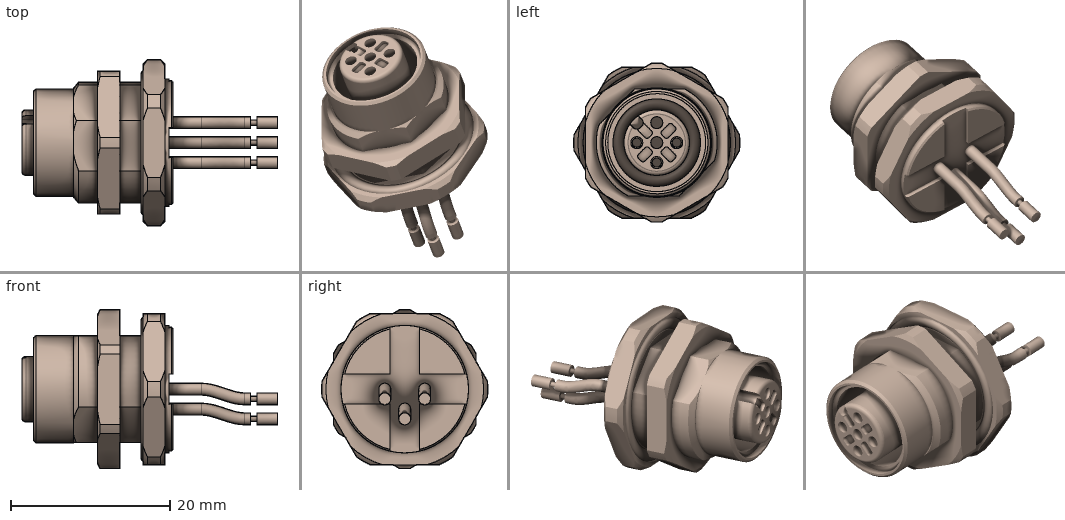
import cadquery as cq
import math


BARREL_FRONT_X = 1.45
BARREL_RADIUS = 13.5 / 2
BARREL_CHAMFER = 0.32
THREAD_FRONT_X = 6.53
THREAD_RADIUS = 15.2 / 2
THREAD_LEAD_IN = 0.6
THREAD_ROOT_RADIUS = 6.88
FLAT_DISTANCE = 6.72
FLAT_ANGLES = (45, 90, 225, 270)

MOUTH_RADIUS = 12.3 / 2
MOUTH_DEPTH = 0.87
CAVITY_RADIUS = 11.0 / 2
CAVITY_FLOOR_X = 9.65
INSERT_RADIUS = 4.1
INSERT_FILLET = 0.5

PITCH_RADIUS = 2.5
HOLE_DIAMETER = 1.5
HOLE_DEPTH = 4.82
CONTACT_BORE = 1.15
CONTACT_RECESS = 1.6
SLOT_WIDTH = 1.15
SLOT_INNER = 1.15
SLOT_OUTER = 3.02
SLOT_CORNER = 0.32
SLOT_DEPTH = 0.55
SLOT_ANGLES = (45, 135, 225, 315)
KEY_ANGLE = SLOT_ANGLES[0]
KEY_WIDTH = 1.48
KEY_INNER = 2.8
KEY_OUTER = 4.82
KEY_CORNER = 0.58

FLANGE_FRONT_X = 15.25
FLANGE_REAR_X = 17.97
FLANGE_ACROSS_FLATS = 19.0
FLANGE_CORNER_RADIUS = 20.9 / 2
FLANGE_CHAMFER = 0.55
COLLAR_REAR_X = 19.0
COLLAR_RADIUS = 16.0 / 2
COLLAR_CHAMFER = (16.0 - 15.6) / 2
CROSS_SLOT_WIDTH = 3.75
CROSS_SLOT_DEPTH = 0.48

RING_TUBE_RADIUS = 1.5 / 2
RING_CENTRE_RADIUS = 8.5
RING_PROTRUSION = 0.3
RING_SEAT_OUTER_RADIUS = 9.25
RING_SEAT_INNER_RADIUS = RING_CENTRE_RADIUS - RING_TUBE_RADIUS
RING_CENTRE_X = FLANGE_FRONT_X - RING_PROTRUSION + RING_TUBE_RADIUS
RING_SEAT_X = RING_CENTRE_X + RING_TUBE_RADIUS

NUT_FRONT_X = 9.5
NUT_REAR_X = 12.3
NUT_ACROSS_FLATS = 17.95
NUT_CORNER_RADIUS = 20.0 / 2
NUT_CHAMFER_LENGTH = 0.35
NUT_CHAMFER_RADIAL = 0.68

WIRE_DIAMETER = 1.5
CONDUCTOR_DIAMETER = 0.7
BEND_START_X = 22.57
BEND_END_X = 28.0
BEND_DROP = 1.22
NECK_START_X = 28.75
NECK_END_X = 29.55
WIRE_END_X = 32.15
WIRE_ANGLES = (0, 180, 270)


def polar(radius, angle):
    """Y, Z position at a radius from the axis, angle measured from +Y towards +Z."""
    return (radius * math.cos(math.radians(angle)), radius * math.sin(math.radians(angle)))


def rod(x_start, x_end, radius, y=0, z=0):
    """Cylinder parallel to X."""
    return cq.Workplane("YZ", origin=(x_start, y, z)).circle(radius).extrude(x_end - x_start)


def turned(profile):
    """Solid of revolution about X from (x, radius) points."""
    return cq.Workplane("XY").polyline(profile).close().revolve(360, (0, 0, 0), (1, 0, 0))


def torus(x, centre_radius, tube_radius):
    return (
        cq.Workplane("XY", origin=(x, centre_radius, 0))
        .circle(tube_radius)
        .revolve(360, (0, -centre_radius, 0), (1, -centre_radius, 0))
    )


def hexagon(x_start, x_end, across_flats, corner_angle):
    """Hexagonal prism along X with one corner at corner_angle."""
    corner_diameter = across_flats / math.cos(math.pi / 6)
    prism = cq.Workplane("YZ").polygon(6, corner_diameter).extrude(x_end - x_start)
    return prism.rotate((0, 0, 0), (1, 0, 0), corner_angle).translate((x_start, 0, 0))


def threaded_shank():
    """Threaded length of the shell, with a conical lead-in and four wrench flats."""
    shank = turned([
        (THREAD_FRONT_X, 0),
        (THREAD_FRONT_X, THREAD_ROOT_RADIUS),
        (THREAD_FRONT_X + THREAD_LEAD_IN, THREAD_RADIUS),
        (FLANGE_REAR_X, THREAD_RADIUS),
        (FLANGE_REAR_X, 0),
    ])
    length = FLANGE_REAR_X - THREAD_FRONT_X
    waste = cq.Workplane("XY").box(length, THREAD_RADIUS, 2 * THREAD_RADIUS, centered=(False, False, True))
    waste = waste.translate((THREAD_FRONT_X, FLAT_DISTANCE, 0))
    for angle in FLAT_ANGLES:
        shank = shank.cut(waste.rotate((0, 0, 0), (1, 0, 0), angle))
    return shank


def barrel():
    body = rod(BARREL_FRONT_X, THREAD_FRONT_X, BARREL_RADIUS)
    return body.faces("<X").chamfer(BARREL_CHAMFER)


def flange():
    """Hexagonal flange with turned corners and a face groove for the sealing ring."""
    body = hexagon(FLANGE_FRONT_X, FLANGE_REAR_X, FLANGE_ACROSS_FLATS, 0)
    envelope = rod(FLANGE_FRONT_X, FLANGE_REAR_X, FLANGE_CORNER_RADIUS)
    body = body.intersect(envelope.faces("<X or >X").chamfer(FLANGE_CHAMFER))
    body = body.cut(rod(FLANGE_FRONT_X, RING_SEAT_X, RING_SEAT_OUTER_RADIUS))
    return body.union(rod(FLANGE_FRONT_X, FLANGE_REAR_X, RING_SEAT_INNER_RADIUS))


def collar():
    """Rear collar with a crosswise driver slot."""
    body = rod(FLANGE_REAR_X, COLLAR_REAR_X, COLLAR_RADIUS).faces(">X").chamfer(COLLAR_CHAMFER)
    slot_floor_x = COLLAR_REAR_X - CROSS_SLOT_DEPTH
    length = 2 * COLLAR_RADIUS
    for slot_y, slot_z in ((length, CROSS_SLOT_WIDTH), (CROSS_SLOT_WIDTH, length)):
        slot = cq.Workplane("YZ", origin=(slot_floor_x, 0, 0)).rect(slot_y, slot_z).extrude(CROSS_SLOT_DEPTH)
        body = body.cut(slot)
    return body


def front_cavity():
    """Space to clear from the barrel before the insert is placed."""
    mouth = rod(BARREL_FRONT_X, BARREL_FRONT_X + MOUTH_DEPTH, MOUTH_RADIUS)
    return mouth.union(rod(BARREL_FRONT_X, CAVITY_FLOOR_X, CAVITY_RADIUS))


def radial_pocket(angle, inner, outer, width, corner, depth):
    """Round-cornered pocket from the insert face, lying along a radius."""
    pocket = cq.Workplane("YZ", origin=(0, (inner + outer) / 2, 0)).rect(outer - inner, width).extrude(depth)
    return pocket.edges("|X").fillet(corner).rotate((0, 0, 0), (1, 0, 0), angle)


def contact_insert():
    """Contact insert with its openings and the seal bead at its foot."""
    body = rod(0, CAVITY_FLOOR_X, INSERT_RADIUS).faces("<X").edges().fillet(INSERT_FILLET)

    body = body.cut(rod(0, HOLE_DEPTH, HOLE_DIAMETER / 2))
    for angle in (0, 90, 180, 270):
        y, z = polar(PITCH_RADIUS, angle)
        if angle in WIRE_ANGLES:
            body = body.cut(rod(0, CONTACT_RECESS, HOLE_DIAMETER / 2, y, z))
            body = body.cut(rod(0, HOLE_DEPTH, CONTACT_BORE / 2, y, z))
        else:
            body = body.cut(rod(0, HOLE_DEPTH, HOLE_DIAMETER / 2, y, z))

    for angle in SLOT_ANGLES:
        body = body.cut(radial_pocket(angle, SLOT_INNER, SLOT_OUTER, SLOT_WIDTH, SLOT_CORNER, SLOT_DEPTH))
    body = body.cut(radial_pocket(KEY_ANGLE, KEY_INNER, KEY_OUTER, KEY_WIDTH, KEY_CORNER, HOLE_DEPTH))

    bead_radius = (CAVITY_RADIUS - INSERT_RADIUS) / 2
    return body.union(torus(CAVITY_FLOOR_X, INSERT_RADIUS + bead_radius, bead_radius))


def wire(y, z):
    """Wire with an S-bend towards -Z, a bared neck and an insulation stub at its end."""
    third = (BEND_END_X - BEND_START_X) / 3
    low_z = z - BEND_DROP
    bend_path = cq.Workplane("XZ", origin=(0, y, 0)).bezier([
        (BEND_START_X, z),
        (BEND_START_X + third, z),
        (BEND_END_X - third, low_z),
        (BEND_END_X, low_z),
    ])
    radius = WIRE_DIAMETER / 2
    bend = cq.Workplane("YZ", origin=(BEND_START_X, y, z)).circle(radius).sweep(bend_path)
    straight = rod(FLANGE_REAR_X, BEND_START_X, radius, y, z)
    end = rod(BEND_END_X, NECK_START_X, radius, y, low_z)
    neck = rod(NECK_START_X, NECK_END_X, CONDUCTOR_DIAMETER / 2, y, low_z)
    stub = rod(NECK_END_X, WIRE_END_X, radius, y, low_z)
    return straight.union(bend).union(end).union(neck).union(stub)


def make_connector():
    body = barrel().union(threaded_shank()).union(flange()).union(collar())
    body = body.cut(front_cavity()).union(contact_insert())
    for angle in WIRE_ANGLES:
        body = body.union(wire(*polar(PITCH_RADIUS, angle)))
    return body


def make_sealing_ring():
    return torus(RING_CENTRE_X, RING_CENTRE_RADIUS, RING_TUBE_RADIUS)


def make_nut():
    """Hexagonal nut with front corners turned conical, its opening fitted to the shank."""
    envelope = turned([
        (NUT_FRONT_X, 0),
        (NUT_FRONT_X, NUT_CORNER_RADIUS - NUT_CHAMFER_RADIAL),
        (NUT_FRONT_X + NUT_CHAMFER_LENGTH, NUT_CORNER_RADIUS),
        (NUT_REAR_X, NUT_CORNER_RADIUS),
        (NUT_REAR_X, 0),
    ])
    body = hexagon(NUT_FRONT_X, NUT_REAR_X, NUT_ACROSS_FLATS, 90).intersect(envelope)
    return body.cut(rod(NUT_FRONT_X, NUT_REAR_X, THREAD_ROOT_RADIUS)).cut(threaded_shank())


connector = make_connector()
sealing_ring = make_sealing_ring()
nut = make_nut()

result = cq.Compound.makeCompound([connector.val(), sealing_ring.val(), nut.val()])